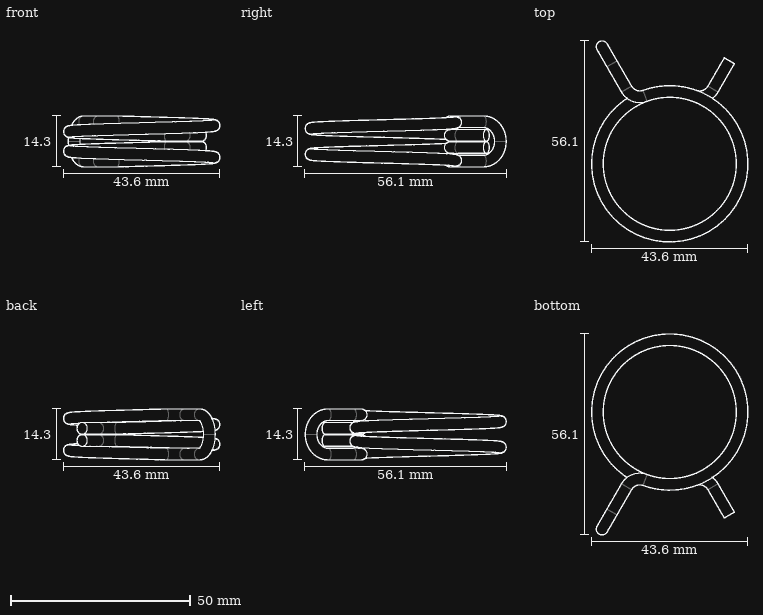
import cadquery as cq
import math


outer_diameter = 43.6
wire_diameter = 3.3
overall_height = 14.3
tail_height = 1.7
coil_end_offset = 20
bend_radius = 4.25
bend_angle = 80
loop_leg_length = 8.15
tail_length = 9.15

wire_radius = wire_diameter / 2
coil_radius = outer_diameter / 2 - wire_radius
loop_radius = overall_height / 2 - wire_radius
coil_sweep = 360 + 2 * coil_end_offset
coil_rise = loop_radius - tail_height
coil_pitch = coil_rise * 360 / coil_sweep


def wire_section(start, direction):
    """Round wire cross-section centred on start and facing along direction."""
    plane = cq.Plane(origin=start, xDir=(0, 0, 1), normal=direction)
    return cq.Workplane(plane).circle(wire_radius)


def coil():
    """Wire coil rising from the tail end, past one full turn, to the loop end."""
    path = cq.Wire.makeHelix(coil_pitch, coil_rise, coil_radius)
    section = cq.Workplane("XZ", origin=(coil_radius, 0, 0)).circle(wire_radius)
    turns = section.sweep(cq.Workplane(path), isFrenet=True)
    return turns.rotate((0, 0, 0), (0, 0, 1), 90 - coil_end_offset).translate((0, 0, tail_height))


def outward_arm(height, leg_length):
    """Bend and straight leg leaving the coil on the -X side.

    Returns the arm, the centre of its far end and its outward direction.
    """
    start_angle = math.radians(90 + coil_end_offset)
    turn = math.radians(bend_angle)
    radial = cq.Vector(math.cos(start_angle), math.sin(start_angle), 0)
    tangent = cq.Vector(-radial.y, radial.x, 0)
    level = cq.Vector(0, 0, height)

    def bend_point(angle):
        radial_distance = coil_radius + bend_radius * (1 - math.cos(angle))
        tangent_distance = bend_radius * math.sin(angle)
        return level + radial * radial_distance + tangent * tangent_distance

    start = bend_point(0)
    bend_end = bend_point(turn)
    outward = tangent * math.cos(turn) + radial * math.sin(turn)
    leg_end = bend_end + outward * leg_length

    bend_path = cq.Workplane(cq.Edge.makeThreePointArc(start, bend_point(turn / 2), bend_end))
    bend = wire_section(start, tangent).sweep(bend_path)
    leg = wire_section(bend_end, outward).extrude(leg_length)
    return bend.union(leg), leg_end, outward


def half_loop(start, outward):
    """Quarter turn of wire from a leg at the top down to the mid plane."""
    centre = cq.Vector(start.x, start.y, 0)
    diagonal = loop_radius * math.sqrt(0.5)
    middle = centre + outward * diagonal + cq.Vector(0, 0, diagonal)
    path = cq.Edge.makeThreePointArc(start, middle, centre + outward * loop_radius)
    return wire_section(start, outward).sweep(cq.Workplane(path))


loop_arm, loop_start, loop_direction = outward_arm(loop_radius, loop_leg_length)
tail_arm, _, _ = outward_arm(tail_height, tail_length)
tail_arm = tail_arm.mirror("YZ")

upper_half = (
    coil()
    .union(loop_arm)
    .union(tail_arm)
    .union(half_loop(loop_start, loop_direction))
)
result = upper_half.union(upper_half.mirror("XY"))